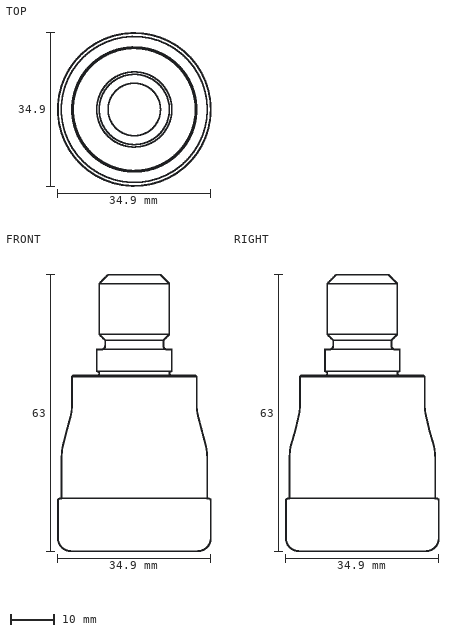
import cadquery as cq
import math

TOTAL_HEIGHT = 63

STUD_RADIUS = 8.0
STUD_TIP_CHAMFER = 2.0
SHANK_BOTTOM_Z = 49.4
NECK_RADIUS = 6.7
NECK_FILLET = 0.75
COLLAR_RADIUS = 8.55
COLLAR_TOP_Z = 46.0
COLLAR_BOTTOM_Z = 40.95
ROOT_RADIUS = STUD_RADIUS

SHOULDER_RADIUS = 14.25
SHOULDER_TOP_Z = 40.05
SHOULDER_BOTTOM_Z = 33.3
SHOULDER_CHAMFER = 0.3
BARREL_RADIUS = 16.65
WAIST_ANGLE = math.radians(14.8)
WAIST_BLEND_RADIUS = 10.7

CAP_RADIUS = 17.45
CAP_HEIGHT = 12.05
CAP_TOP_FILLET = 0.5
CAP_BOTTOM_FILLET = 3.0
CAP_FLOOR = CAP_BOTTOM_FILLET

FILLET_INSET = 1 - math.sqrt(0.5)


def revolve_profile(profile):
    """Close a half profile and revolve it about the Z axis."""
    return profile.close().revolve(360, (0, 0, 0), (0, 1, 0))


def blend_offset(angle):
    """Radial and vertical travel along a waist blend that starts vertical and turns by the angle."""
    return WAIST_BLEND_RADIUS * (1 - math.cos(angle)), WAIST_BLEND_RADIUS * math.sin(angle)


def add_waist(profile):
    """Go from the barrel up to the shoulder along a cone with an equal blend arc at each end."""
    end_out, end_rise = blend_offset(WAIST_ANGLE)
    mid_out, mid_rise = blend_offset(WAIST_ANGLE / 2)
    cone_height = (BARREL_RADIUS - SHOULDER_RADIUS - 2 * end_out) / math.tan(WAIST_ANGLE)
    barrel_top_z = SHOULDER_BOTTOM_Z - 2 * end_rise - cone_height
    return (
        profile
        .lineTo(BARREL_RADIUS, barrel_top_z)
        .threePointArc(
            (BARREL_RADIUS - mid_out, barrel_top_z + mid_rise),
            (BARREL_RADIUS - end_out, barrel_top_z + end_rise),
        )
        .lineTo(SHOULDER_RADIUS + end_out, SHOULDER_BOTTOM_Z - end_rise)
        .threePointArc(
            (SHOULDER_RADIUS + mid_out, SHOULDER_BOTTOM_Z - mid_rise),
            (SHOULDER_RADIUS, SHOULDER_BOTTOM_Z),
        )
    )


def add_shoulder(profile):
    """Go up the shoulder wall and chamfer its top edge."""
    return (
        profile
        .lineTo(SHOULDER_RADIUS, SHOULDER_TOP_Z - SHOULDER_CHAMFER)
        .lineTo(SHOULDER_RADIUS - SHOULDER_CHAMFER, SHOULDER_TOP_Z)
    )


def add_stud(profile):
    """Go up the root groove of two quarter-round fillets, the collar, the neck and the chamfered shank."""
    groove_radius = (COLLAR_BOTTOM_Z - SHOULDER_TOP_Z) / 2
    groove_inset = groove_radius * FILLET_INSET
    groove_z = SHOULDER_TOP_Z + groove_radius
    neck_inset = NECK_FILLET * FILLET_INSET
    shank_step = STUD_RADIUS - NECK_RADIUS
    return (
        profile
        .lineTo(ROOT_RADIUS + groove_radius, SHOULDER_TOP_Z)
        .threePointArc(
            (ROOT_RADIUS + groove_inset, SHOULDER_TOP_Z + groove_inset),
            (ROOT_RADIUS, groove_z),
        )
        .threePointArc(
            (ROOT_RADIUS + groove_inset, COLLAR_BOTTOM_Z - groove_inset),
            (ROOT_RADIUS + groove_radius, COLLAR_BOTTOM_Z),
        )
        .lineTo(COLLAR_RADIUS, COLLAR_BOTTOM_Z)
        .lineTo(COLLAR_RADIUS, COLLAR_TOP_Z)
        .lineTo(NECK_RADIUS + NECK_FILLET, COLLAR_TOP_Z)
        .threePointArc(
            (NECK_RADIUS + neck_inset, COLLAR_TOP_Z + neck_inset),
            (NECK_RADIUS, COLLAR_TOP_Z + NECK_FILLET),
        )
        .lineTo(NECK_RADIUS, SHANK_BOTTOM_Z - shank_step)
        .lineTo(STUD_RADIUS, SHANK_BOTTOM_Z)
        .lineTo(STUD_RADIUS, TOTAL_HEIGHT - STUD_TIP_CHAMFER)
        .lineTo(STUD_RADIUS - STUD_TIP_CHAMFER, TOTAL_HEIGHT)
        .lineTo(0, TOTAL_HEIGHT)
    )


def make_studded_body():
    """Revolve the barrel, waist, shoulder and stud as one solid standing in the cap."""
    profile = cq.Workplane("XZ").moveTo(0, CAP_FLOOR).lineTo(BARREL_RADIUS, CAP_FLOOR)
    return revolve_profile(add_stud(add_shoulder(add_waist(profile))))


def make_cap():
    """Build the filleted round base cap and sink the recess that the barrel fills."""
    blank = (
        cq.Workplane("XY")
        .circle(CAP_RADIUS)
        .extrude(CAP_HEIGHT)
        .faces(">Z")
        .edges()
        .fillet(CAP_TOP_FILLET)
        .faces("<Z")
        .edges()
        .fillet(CAP_BOTTOM_FILLET)
    )
    recess = (
        cq.Workplane("XY")
        .workplane(offset=CAP_FLOOR)
        .circle(BARREL_RADIUS)
        .extrude(CAP_HEIGHT - CAP_FLOOR)
    )
    return blank.cut(recess)


studded_body = make_studded_body()
cap = make_cap()

result = cq.Compound.makeCompound([studded_body.val(), cap.val()])